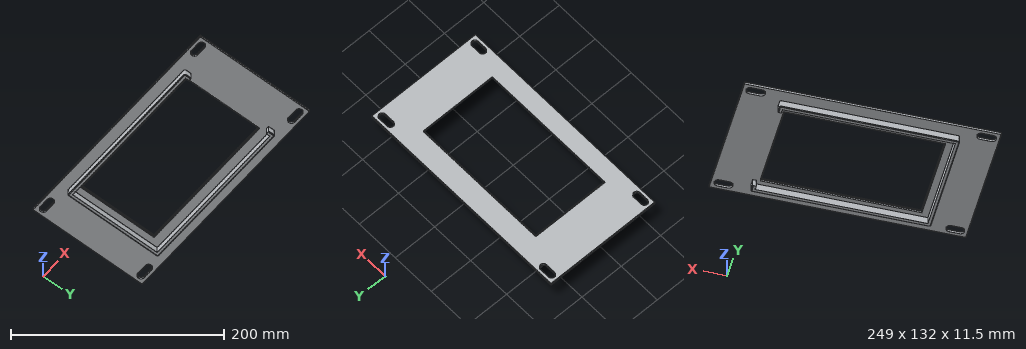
import cadquery as cq

plate_length = 249.0
plate_width = 132.0
plate_thickness = 3.0
total_height = 11.5

rim_length = 174.3
rim_width = 109.0
rim_wall = 3.5
rim_corner_radius = 1.5
rim_bottom_chamfer = 0.7
rim_opening_width = 93.5
rim_height = total_height - plate_thickness

window_left_margin = 48.5
window_right_margin = 45.3
window_top_margin = 25.1
window_bottom_margin = 20.2
window_lip_thickness = 1.0
window_recess_border = 0.7

slot_width = 7.5
slot_edge_margin = 3.2
upper_slot_length = 18.7
lower_slot_length = 18.0


def make_plate():
    return cq.Workplane("XY").box(
        plate_length, plate_width, plate_thickness, centered=(True, True, False)
    )


def make_rim():
    """Wall below the plate with eased outer edges, open along most of its +X side."""
    outer = (
        cq.Workplane("XY")
        .rect(rim_length, rim_width)
        .extrude(-rim_height)
        .edges("|Z")
        .fillet(rim_corner_radius)
        .faces("<Z")
        .chamfer(rim_bottom_chamfer)
    )
    cavity = (
        cq.Workplane("XY")
        .rect(rim_length - 2 * rim_wall, rim_width - 2 * rim_wall)
        .extrude(-rim_height)
    )
    side_opening = (
        cq.Workplane("XY")
        .center(rim_length / 2, 0)
        .rect(2 * rim_wall, rim_opening_width)
        .extrude(-rim_height)
    )
    return outer.cut(cavity).cut(side_opening)


def make_window():
    """Through window with a wider recess behind it, leaving a thin lip at the top face."""
    length = plate_length - window_left_margin - window_right_margin
    width = plate_width - window_top_margin - window_bottom_margin
    center_x = (window_left_margin - window_right_margin) / 2
    center_y = (window_bottom_margin - window_top_margin) / 2
    base = cq.Workplane("XY").center(center_x, center_y)
    opening = base.rect(length, width).extrude(plate_thickness)
    recess = base.rect(
        length + 2 * window_recess_border, width + 2 * window_recess_border
    ).extrude(plate_thickness - window_lip_thickness)
    return opening.union(recess)


def make_slot_pair(slot_length, side):
    """Two mirrored slots near the upper (side = 1) or lower (side = -1) plate edge."""
    x = plate_length / 2 - slot_edge_margin - slot_length / 2
    y = side * (plate_width / 2 - slot_edge_margin - slot_width / 2)
    return (
        cq.Workplane("XY")
        .pushPoints([(-x, y), (x, y)])
        .slot2D(slot_length, slot_width)
        .extrude(plate_thickness)
    )


result = (
    make_plate()
    .cut(make_window())
    .cut(make_slot_pair(upper_slot_length, 1))
    .cut(make_slot_pair(lower_slot_length, -1))
    .union(make_rim())
)